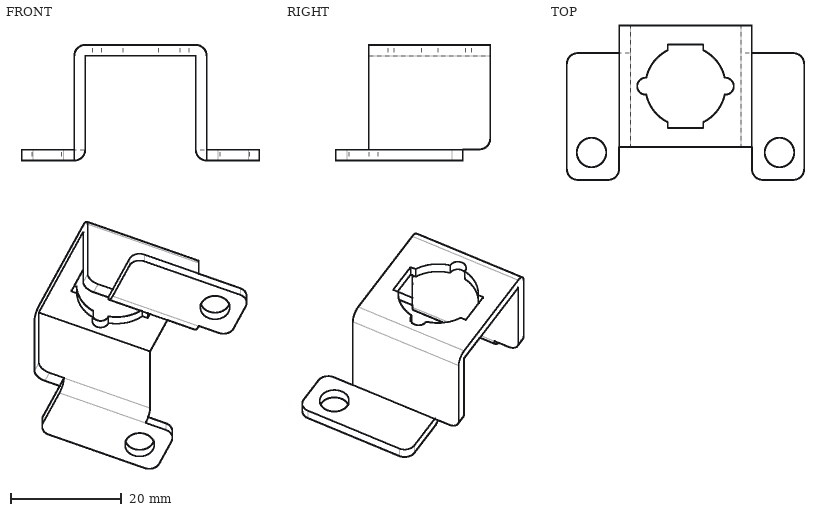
import cadquery as cq

length = 43.0
height = 21.0
sheet = 2.0
corner_radius = 2.0
bridge_width = 24.0
bridge_depth = 22.0
foot_depth = 23.0
foot_setback = 5.0

hole_diameter = 5.3
hole_spacing = 34.0
hole_edge_distance = 5.0

opening_diameter = 14.5
key_width = 6.4
key_length = 15.1
notch_radius = 1.5
notch_span = 17.45

bridge_front = -bridge_depth
bridge_middle = bridge_front / 2
foot_back = -foot_setback
foot_front = foot_back - foot_depth
foot_width = (length - bridge_width) / 2


def block(x_min, x_max, y_min, y_max, z_min, z_max):
    """Box given by its limits along each axis."""
    size = (x_max - x_min, y_max - y_min, z_max - z_min)
    return cq.Workplane("XY").box(*size, centered=False).translate((x_min, y_min, z_min))


def make_bridge():
    """Top plate with two side walls, rounded along the upper folds."""
    half = bridge_width / 2
    outer = block(-half, half, bridge_front, 0, sheet, height)
    outer = outer.edges("|Y and >Z").fillet(corner_radius)
    inner = block(-half + sheet, half - sheet, bridge_front, 0, sheet, height - sheet)
    return outer.cut(inner).edges("|X and >Y and <Z").fillet(corner_radius)


def make_opening():
    """Round opening with a rectangular key and two side notches."""
    plane = cq.Workplane("XY").center(0, bridge_middle)
    notch_offset = notch_span / 2 - notch_radius
    opening = plane.circle(opening_diameter / 2).extrude(height)
    key = plane.rect(key_width, key_length).extrude(height)
    notch_centres = [(-notch_offset, 0), (notch_offset, 0)]
    notches = plane.pushPoints(notch_centres).circle(notch_radius).extrude(height)
    return opening.union(key).union(notches).translate((0, 0, height / 2))


def make_left_foot():
    """Flat foot with its hole, and the lower fold joining it to the wall."""
    outer_x = -length / 2
    wall_x = outer_x + foot_width
    foot = block(outer_x, wall_x, foot_front, foot_back, 0, sheet)
    foot = foot.edges("|Z and (<X or <Y)").fillet(corner_radius)
    hole = (
        cq.Workplane("XY")
        .center(-hole_spacing / 2, foot_front + hole_edge_distance)
        .circle(hole_diameter / 2)
        .extrude(sheet)
    )
    fold = block(wall_x, wall_x + sheet, bridge_front, foot_back, 0, sheet)
    fold_round = (
        cq.Workplane("XZ", origin=(wall_x, foot_back, sheet))
        .circle(sheet)
        .extrude(foot_back - bridge_front)
    )
    fold = fold.intersect(fold_round)
    return foot.cut(hole).union(fold)


left_foot = make_left_foot()
right_foot = left_foot.mirror("YZ")
result = make_bridge().cut(make_opening()).union(left_foot).union(right_foot)